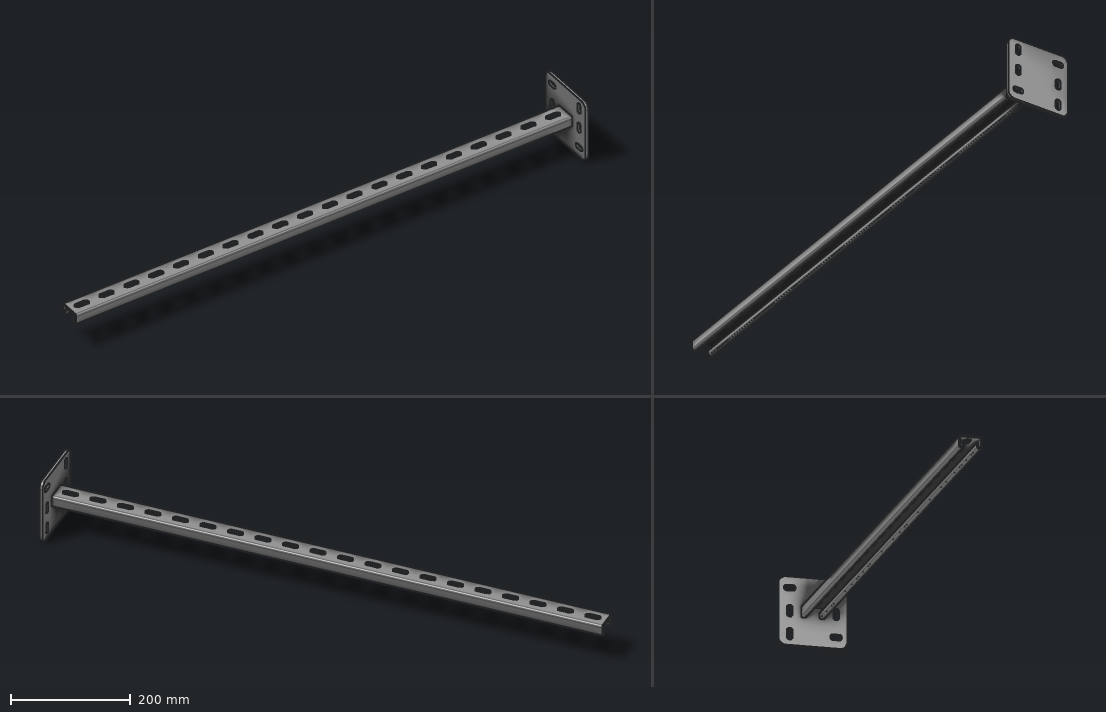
import cadquery as cq

total_length = 1006.0
plate_size = 120.0
plate_thickness = 6.0
plate_corner_radius = 12.0
arm_length = total_length - plate_thickness

plate_slot_length = 20.0
plate_slot_width = 10.0
plate_slot_offset = 40.0

channel_width = 41.0
channel_height = 21.0
sheet_thickness = 2.5
bend_outer_radius = 3.5
mouth_width = 22.0
lip_height = 10.0

web_slot_count = 20
web_slot_length = 27.0
web_slot_width = 11.0
web_slot_pitch = arm_length / web_slot_count

plate_front_y = -plate_thickness
arm_middle_y = plate_front_y - arm_length / 2


def make_plate():
    """Square plate with rounded corners and six elongated bolt holes."""
    plate = (
        cq.Workplane("XZ")
        .rect(plate_size, plate_size)
        .extrude(plate_thickness)
        .edges("|Y")
        .fillet(plate_corner_radius)
    )
    upright_slots = [
        (-plate_slot_offset, -plate_slot_offset),
        (-plate_slot_offset, 0),
        (plate_slot_offset, 0),
        (plate_slot_offset, plate_slot_offset),
    ]
    level_slots = [
        (-plate_slot_offset, plate_slot_offset),
        (plate_slot_offset, -plate_slot_offset),
    ]
    for centres, angle in ((upright_slots, 90), (level_slots, 0)):
        cutter = (
            cq.Workplane("XZ")
            .pushPoints(centres)
            .slot2D(plate_slot_length, plate_slot_width, angle)
            .extrude(plate_thickness)
        )
        plate = plate.cut(cutter)
    return plate


def arm_bar(width, bottom_z, top_z):
    """Solid bar over the full arm length, centred on X."""
    middle_z = (bottom_z + top_z) / 2
    return (
        cq.Workplane("XZ", origin=(0, plate_front_y, middle_z))
        .rect(width, top_z - bottom_z)
        .extrude(arm_length)
    )


def make_channel():
    """C-channel with rounded bends and lips turned up beside the mouth."""
    top_z = channel_height / 2
    bottom_z = -top_z
    inner_width = channel_width - 2 * sheet_thickness
    bend_inner_radius = bend_outer_radius - sheet_thickness

    outer = arm_bar(channel_width, bottom_z, top_z)
    outer = outer.edges("|Y").fillet(bend_outer_radius)
    cavity = arm_bar(inner_width, bottom_z + sheet_thickness, top_z - sheet_thickness)
    cavity = cavity.edges("|Y").fillet(bend_inner_radius)
    mouth = arm_bar(mouth_width, bottom_z, 0)
    channel = outer.cut(cavity).cut(mouth)

    lips = arm_bar(mouth_width + 2 * sheet_thickness, bottom_z, bottom_z + lip_height).cut(mouth)
    channel = channel.union(lips)

    for side in (-1, 1):
        mouth_edge = (side * mouth_width / 2, arm_middle_y, bottom_z)
        nearest_edge = cq.selectors.NearestToPointSelector(mouth_edge)
        channel = channel.edges(nearest_edge).fillet(bend_outer_radius)
    return channel


def make_web_slots():
    """Cutters for the evenly spaced holes through the top web."""
    return (
        cq.Workplane("XY", origin=(0, arm_middle_y, channel_height / 2))
        .rarray(10, web_slot_pitch, 1, web_slot_count)
        .slot2D(web_slot_length, web_slot_width, 90)
        .extrude(-sheet_thickness)
    )


arm = make_channel().cut(make_web_slots())
result = make_plate().union(arm)